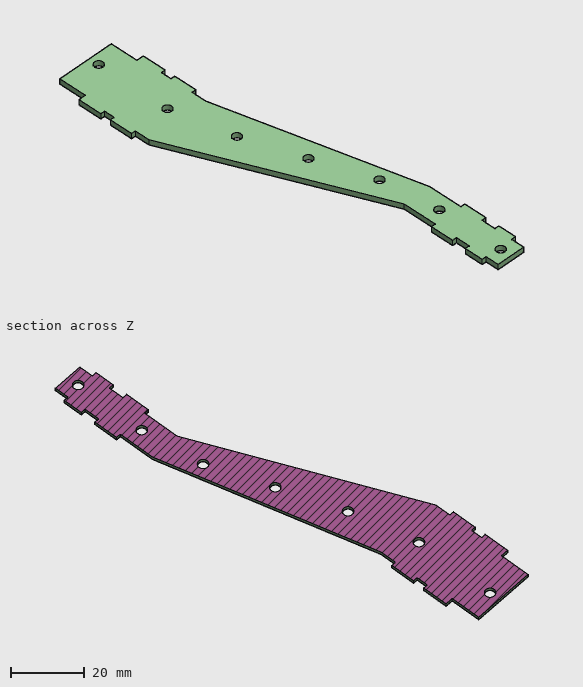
import cadquery as cq

length = 138.5
width = 42.4
thickness = 2.0

wide_tab_width = 25.1
wide_body_width = 22.2
wide_tip_width = 20.1
wide_center_y = wide_tab_width / 2
wide_tabs = [(9.7, 18.0), (21.6, 29.7)]
wide_bend_x = 34.8

narrow_tab_width = 13.0
narrow_body_width = 10.0
narrow_center_y = width - narrow_tab_width / 2
narrow_tabs = [(114.7, 122.8), (127.6, 134.0)]
narrow_bend_x = 103.0

hole_diameter = 3.0
wide_hole_y = 14.1
wide_hole_xs = [3.5, 29.5]
narrow_hole_xs = [111.4, 134.7]
arm_holes = [(51.0, 19.1), (71.2, 26.2), (91.2, 33.4)]


def strip(start_x, end_x, center_y, strip_width):
    """Rectangular piece of plate between two X positions."""
    return (
        cq.Workplane("XY")
        .center((start_x + end_x) / 2, center_y)
        .rect(end_x - start_x, strip_width)
        .extrude(thickness)
    )


def cranked_arm():
    """Wide and narrow bodies joined by a tapering diagonal arm."""
    wide_start_x = wide_tabs[0][0]
    wide_low = wide_center_y - wide_body_width / 2
    wide_high = wide_center_y + wide_body_width / 2
    narrow_low = narrow_center_y - narrow_body_width / 2
    narrow_high = narrow_center_y + narrow_body_width / 2
    outline = [
        (wide_start_x, wide_low),
        (wide_bend_x, wide_low),
        (narrow_bend_x, narrow_low),
        (length, narrow_low),
        (length, narrow_high),
        (narrow_bend_x, narrow_high),
        (wide_bend_x, wide_high),
        (wide_start_x, wide_high),
    ]
    return cq.Workplane("XY").polyline(outline).close().extrude(thickness)


plate = cranked_arm().union(strip(0, wide_bend_x, wide_center_y, wide_tip_width))

for start_x, end_x in wide_tabs:
    plate = plate.union(strip(start_x, end_x, wide_center_y, wide_tab_width))
for start_x, end_x in narrow_tabs:
    plate = plate.union(strip(start_x, end_x, narrow_center_y, narrow_tab_width))

hole_centers = [(x, wide_hole_y) for x in wide_hole_xs]
hole_centers += arm_holes
hole_centers += [(x, narrow_center_y) for x in narrow_hole_xs]
holes = cq.Workplane("XY").pushPoints(hole_centers).circle(hole_diameter / 2).extrude(thickness)

result = plate.cut(holes).clean()